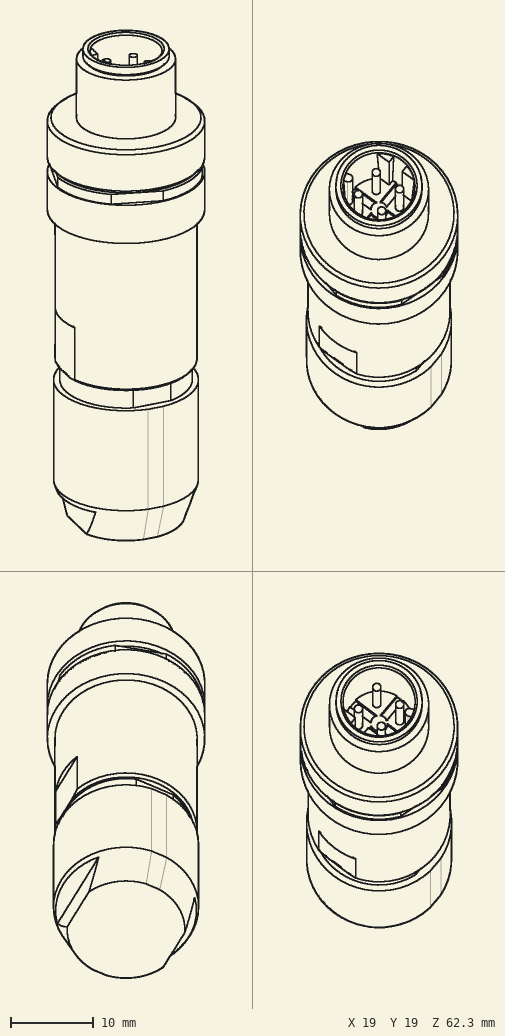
import cadquery as cq

tip_top = 62.32
tip_bottom = 61.35
screw_top = 61.0
collar_top = 53.15
collar_bottom = 47.4
ring_top = 47.25
band_top = 45.95
band_bottom = 40.85
grip_top = 27.9
sleeve_bottom = 20.6
nut_top = 18.15
cone_top = 4.8
cone_flat_top = 4.05

thread_radius = 5.98
collar_radius = 9.5
collar_chamfer = 0.45
spigot_radius = 8.5

shank_radius = 4.83
tip_radius = 5.2
ring_radius = 9.35
ring_flat_distance = 8.8
ring_flat_angle = -15.5
band_radius = 9.5
sleeve_radius = 8.57
sleeve_chamfer = 0.35
grip_half_width = 8.08
neck_radius = 8.0
neck_half_width = 7.6

nut_radius = 8.75
cone_end_radius = 7.1
cone_flat_half_width = 6.5
side_flat_depth = 0.06

cavity_depth = 8.0
mouth_radius = 4.6
mouth_chamfer = 0.25
cavity_floor_radius = 4.1
floor_z = tip_top - cavity_depth
slot_width_x = 1.15
slot_width_y = 1.0
slot_depth = 0.5
hub_radius = 1.0
pin_radius = 0.5
pin_count = 4
pin_circle_radius = 2.5
pin_top = tip_top - 2.0

key_top = tip_top - 0.5
twin_key_gap = 2.0
twin_key_outer = 3.6
twin_key_face = 3.3
round_key_angle = 20.0
round_key_radius = 0.5
round_key_centre = 3.85


def disc(radius, bottom, top):
    return cq.Workplane("XY").workplane(offset=bottom).circle(radius).extrude(top - bottom)


def slab(size_x, size_y, bottom, top):
    return (
        cq.Workplane("XY")
        .workplane(offset=bottom)
        .rect(size_x, size_y)
        .extrude(top - bottom)
    )


def coupling_screw():
    """Threaded sleeve and its grip collar, free to turn on the housing shank."""
    collar = disc(collar_radius, collar_bottom, collar_top).faces("<Z or >Z").chamfer(collar_chamfer)
    thread = disc(thread_radius, collar_top, screw_top)
    spigot = disc(spigot_radius, ring_top, collar_bottom)
    bore = disc(shank_radius, ring_top, screw_top)
    return collar.union(thread).union(spigot).cut(bore)


def flat_ring():
    """Ring below the coupling screw with four flats, turned off the main axes."""
    ring = disc(ring_radius, band_top, ring_top)
    flats = slab(2 * ring_flat_distance, 2 * ring_flat_distance, band_top, ring_top)
    return ring.intersect(flats.rotate((0, 0, 0), (0, 0, 1), ring_flat_angle))


def sleeve():
    """Main barrel with two opposite wrench flats at its lower end."""
    barrel = disc(sleeve_radius, sleeve_bottom, band_bottom).faces("<Z").chamfer(sleeve_chamfer)
    upper = slab(2 * sleeve_radius, 2 * sleeve_radius, grip_top, band_bottom)
    grip = slab(2 * sleeve_radius, 2 * grip_half_width, sleeve_bottom, grip_top)
    return barrel.intersect(upper.union(grip))


def neck():
    return disc(neck_radius, nut_top, sleeve_bottom).intersect(
        slab(2 * neck_half_width, 2 * neck_radius, nut_top, sleeve_bottom)
    )


def nut_profile(inset):
    """Half profile of the gland end, moved inwards by the inset."""
    return (
        cq.Workplane("XZ")
        .moveTo(0, 0)
        .lineTo(cone_end_radius - inset, 0)
        .lineTo(nut_radius - inset, cone_top)
        .lineTo(nut_radius - inset, nut_top)
        .lineTo(0, nut_top)
        .close()
    )


def gland_end():
    """Cylinder and cone with two wrench flats and two narrow side flats."""
    body = nut_profile(0).revolve(360, (0, 0, 0), (0, 1, 0))
    half = nut_profile(side_flat_depth).extrude(nut_radius, both=True)
    body = body.intersect(half.union(half.mirror("YZ")))
    upper = slab(2 * nut_radius, 2 * nut_radius, cone_flat_top, nut_top)
    lower = slab(2 * nut_radius, 2 * cone_flat_half_width, 0, cone_flat_top)
    return body.intersect(upper.union(lower))


def cavity():
    """Tapered contact cavity with a chamfered mouth."""
    return (
        cq.Workplane("XZ")
        .moveTo(0, floor_z)
        .lineTo(cavity_floor_radius, floor_z)
        .lineTo(mouth_radius - mouth_chamfer, tip_top - mouth_chamfer)
        .lineTo(mouth_radius, tip_top)
        .lineTo(0, tip_top)
        .close()
        .revolve(360, (0, 0, 0), (0, 1, 0))
    )


def floor_slots():
    """Cross of slots in the cavity floor, interrupted by the central hub."""
    slot_bottom = floor_z - slot_depth
    cross = slab(2 * cavity_floor_radius, slot_width_x, slot_bottom, floor_z).union(
        slab(slot_width_y, 2 * cavity_floor_radius, slot_bottom, floor_z)
    )
    hub = disc(hub_radius, slot_bottom, floor_z)
    return cross.intersect(disc(cavity_floor_radius, slot_bottom, floor_z)).cut(hub)


def contact_pins():
    return (
        cq.Workplane("XY")
        .workplane(offset=floor_z)
        .polarArray(pin_circle_radius, 360 / pin_count / 2, 360, pin_count)
        .circle(pin_radius)
        .extrude(pin_top - floor_z)
    )


def coding_keys():
    """Two square-cornered keys side by side and one round-nosed key."""
    wall = disc(shank_radius, floor_z, key_top)
    key_width = twin_key_outer - twin_key_gap / 2
    key_length = shank_radius - twin_key_face
    keys = cq.Workplane("XY")
    twin = slab(key_width, key_length, floor_z, key_top)
    for side in (-1, 1):
        x = side * (twin_key_gap + key_width) / 2
        keys = keys.union(twin.translate((x, -twin_key_face - key_length / 2, 0)))
    root_length = shank_radius - round_key_centre
    root = slab(root_length, 2 * round_key_radius, floor_z, key_top).translate(
        (round_key_centre + root_length / 2, 0, 0)
    )
    nose = disc(round_key_radius, floor_z, key_top).translate((round_key_centre, 0, 0))
    round_key = root.union(nose).rotate((0, 0, 0), (0, 0, 1), round_key_angle)
    return keys.union(round_key).intersect(wall)


def housing():
    """Contact carrier, sleeve and gland end as one solid."""
    body = disc(tip_radius, tip_bottom, tip_top)
    body = body.union(disc(shank_radius, ring_top, tip_bottom))
    body = body.union(flat_ring())
    body = body.union(disc(band_radius, band_bottom, band_top))
    body = body.union(sleeve()).union(neck()).union(gland_end())
    body = body.cut(cavity()).cut(floor_slots())
    return body.union(contact_pins()).union(coding_keys())


result = cq.Compound.makeCompound([coupling_screw().val(), housing().val()])